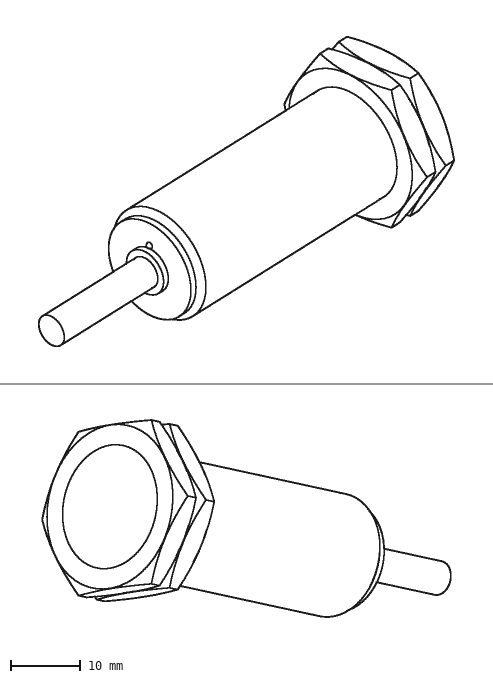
import cadquery as cq
import math

total_length = 72.0

barrel_radius = 9.0
collar_radius = 8.0
end_chamfer = barrel_radius - collar_radius
collar_length = 1.1
gland_radius = 3.6
gland_length = 1.0
cable_diameter = 5.0
cable_radius = cable_diameter / 2
cable_length = 20.0
led_radius = 0.5
led_offset = 4.2

nut_count = 2
nut_across_flats = 24.0
nut_stack_length = 8.0
nut_thickness = nut_stack_length / nut_count
corner_half_angle = 30.0
nut_chamfer_angle = 30.0
nut_face_radius = 11.95
envelope_clearance = 0.35

gland_end = total_length - cable_length
collar_end = gland_end - gland_length
barrel_end = collar_end - collar_length


def make_sensor():
    """Revolved barrel, collar, gland and cable, with a domed indicator lamp on the collar face."""
    profile = [
        (0, 0),
        (barrel_radius, 0),
        (barrel_radius, -(barrel_end - end_chamfer)),
        (collar_radius, -barrel_end),
        (collar_radius, -collar_end),
        (gland_radius, -collar_end),
        (gland_radius, -gland_end),
        (cable_radius, -gland_end),
        (cable_radius, -total_length),
        (0, -total_length),
    ]
    turned_body = cq.Workplane("XY").polyline(profile).close().revolve(360, (0, 0, 0), (0, 1, 0))
    lamp = cq.Workplane("XY").sphere(led_radius).translate((0, -collar_end, led_offset))
    return turned_body.union(lamp)


def make_nut(back_y):
    """Hexagonal nut with corners chamfered on both faces, bored to fit the barrel."""
    corner_diameter = nut_across_flats / math.cos(math.radians(corner_half_angle))
    hexagon = (
        cq.Workplane("XZ")
        .polygon(6, corner_diameter)
        .circle(barrel_radius)
        .extrude(nut_thickness)
    )

    envelope_radius = corner_diameter / 2 + envelope_clearance
    cone_depth = (envelope_radius - nut_face_radius) * math.tan(math.radians(nut_chamfer_angle))
    envelope_profile = [
        (0, 0),
        (nut_face_radius, 0),
        (envelope_radius, -cone_depth),
        (envelope_radius, cone_depth - nut_thickness),
        (nut_face_radius, -nut_thickness),
        (0, -nut_thickness),
    ]
    envelope = cq.Workplane("XY").polyline(envelope_profile).close().revolve(360, (0, 0, 0), (0, 1, 0))
    return hexagon.intersect(envelope).translate((0, back_y, 0))


sensor = make_sensor()
nuts = [make_nut(-index * nut_thickness) for index in range(nut_count)]

result = cq.Compound.makeCompound([sensor.solids().val(), *[nut.solids().val() for nut in nuts]])